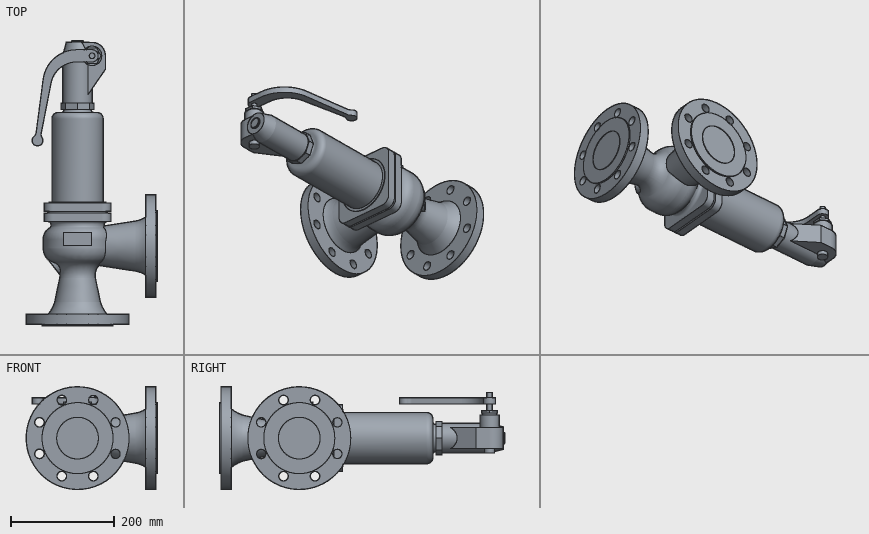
import math

import cadquery as cq


FLANGE_RADIUS = 100.0
FLANGE_THICKNESS = 20.0
FACE_RADIUS = 69.0
FACE_HEIGHT = 3.0
BOLT_CIRCLE_RADIUS = 80.0
BOLT_HOLE_DIAMETER = 18.0
BOLT_COUNT = 8
PORT_RADIUS = 40.5
PORT_DEPTH = 1.0
FLANGE_BACK = FACE_HEIGHT + FLANGE_THICKNESS

INLET_HUB_RADIUS = 57.0
INLET_HUB_MIDDLE = (50.0, 33.5)
INLET_CONE_START = (44.8, 45.5)
INLET_CONE_END = (35.0, 92.5)
BOWL_RADIUS = 67.0
BOWL_BOTTOM_ROUND = 31.0
BOWL_TOP_ROUND = 26.0
BOWL_BELT_BOTTOM = 151.0
BOWL_BELT_TOP = 168.0
BOWL_FOOT_RADIUS = 48.0
BODY_COLLAR_RADIUS = 52.0
COLLAR_BOTTOM = 194.0
COLLAR_TOP = 196.6

OUTLET_REACH = 155.0
OUTLET_Y = 155.0
OUTLET_ROOT_RADIUS = 31.4
OUTLET_CONE_X = 113.5
OUTLET_CONE_RADIUS = 49.0
OUTLET_HUB_MIDDLE = (123.5, 51.9)
OUTLET_HUB_RADIUS = 56.4

DRAIN_RADIUS = 19.7
DRAIN_ANGLE = 38.0
DRAIN_FACE = (-46.8, 115.4)
DRAIN_LENGTH = 45.0

JOINT_WIDTH = 130.0
JOINT_CORNER = 17.0
JOINT_THICKNESS = 16.4
JOINT_BOTTOM = 202.4
GASKET_THICKNESS = 3.8
GASKET_RADIUS = 60.0
GASKET_TOP_RADIUS = 54.0
GASKET_BOTTOM = JOINT_BOTTOM + JOINT_THICKNESS
UPPER_JOINT_BOTTOM = GASKET_BOTTOM + GASKET_THICKNESS
JOINT_TOP = UPPER_JOINT_BOTTOM + JOINT_THICKNESS

BONNET_RADIUS = 50.0
BONNET_TOP = 414.7
BONNET_EDGE_ROUND = 12.5
BONNET_FOOT_RADIUS = 55.5
BONNET_FOOT_HEIGHT = 1.2
STEM_RADIUS = 27.0
STEM_FILLET = 4.0

NUT_RADIUS = 32.4
NUT_SIDES = 8
NUT_BOTTOM = 420.0
NUT_HEIGHT = 12.4
CAP_RADIUS = 29.0
CAP_TAPER_START = 524.4
CAP_END = 551.2
CAP_END_RADIUS = 22.0
BUTTON_RADIUS = 11.3
BUTTON_CHAMFER = 1.5
OVERALL_LENGTH = 554.5

PIVOT_X = 28.2
PIVOT_Y = CAP_TAPER_START
LUG_HALF_THICKNESS = 20.6
LUG_SETBACK = 0.6
LUG_RADIUS = CAP_END - PIVOT_Y - LUG_SETBACK
LUG_SIDE_BOTTOM = 498.3
LUG_TIP = (20.4, 449.0)
LOWER_BOSS_RADIUS = 10.0
BOSS_RADIUS = 18.9
BOSS_TOP = 45.0
GLAND_RADIUS = 14.2
GLAND_NUT_RADIUS = 17.6
GLAND_NUT_SIDES = 6
GLAND_NUT_BOTTOM = 48.6
GLAND_NUT_TOP = 53.6
PIN_RADIUS = 5.5
PIN_TOP = 88.6

LEVER_BOTTOM = 66.2
LEVER_TOP = 78.6
LEVER_END_RADIUS = 11.9
BEND_X = -1.5
OUTER_BEND_RADIUS = 66.0
OUTER_BEND_ANGLE = 7.5
INNER_BEND_RADIUS = 50.6
INNER_BEND_ANGLE = 11.1
GRIP_CENTER = (-77.7, 360.0)
GRIP_RADIUS = 10.6
GRIP_FILLET = 11.0

PLATE_LENGTH = 54.0
PLATE_WIDTH = 25.5
PLATE_MIDDLE_Y = 168.6
PLATE_TOP = 70.0


def y_cylinder(radius, bottom, top):
    """Cylinder on the Y axis from bottom to top."""
    return cq.Workplane("XZ", origin=(0, bottom, 0)).circle(radius).extrude(bottom - top)


def pivot_cylinder(radius, bottom, top):
    """Cylinder on the lever pivot axis, parallel to Z."""
    return cq.Workplane("XY", origin=(PIVOT_X, PIVOT_Y, bottom)).circle(radius).extrude(top - bottom)


def polygon_points(radius, sides):
    """Corners of a regular polygon with one corner on its first axis."""
    step = 2 * math.pi / sides
    return [(radius * math.cos(i * step), radius * math.sin(i * step)) for i in range(sides)]


def pipe_flange():
    """Flange on the Y axis with its raised face at Y = 0; the port is a shallow recess."""
    disc = y_cylinder(FLANGE_RADIUS, FACE_HEIGHT, FLANGE_BACK)
    holes = (
        cq.Workplane("XZ", origin=(0, FACE_HEIGHT, 0))
        .polarArray(BOLT_CIRCLE_RADIUS, 180 / BOLT_COUNT, 360, BOLT_COUNT)
        .circle(BOLT_HOLE_DIAMETER / 2)
        .extrude(-FLANGE_THICKNESS)
    )
    raised_face = y_cylinder(FACE_RADIUS, 0, FACE_HEIGHT)
    port = y_cylinder(PORT_RADIUS, 0, PORT_DEPTH)
    return disc.cut(holes).union(raised_face).cut(port)


def body():
    """Inlet neck, bowl and collar as one revolved profile."""
    bottom_center = (BOWL_RADIUS - BOWL_BOTTOM_ROUND, BOWL_BELT_BOTTOM)
    top_center = (BOWL_RADIUS - BOWL_TOP_ROUND, BOWL_BELT_TOP)
    foot_drop = math.sqrt(BOWL_BOTTOM_ROUND**2 - (BOWL_FOOT_RADIUS - bottom_center[0]) ** 2)
    foot = (BOWL_FOOT_RADIUS, BOWL_BELT_BOTTOM - foot_drop)
    collar_offset = BODY_COLLAR_RADIUS - top_center[0]
    collar_rise = COLLAR_BOTTOM - BOWL_BELT_TOP
    shoulder_fillet = (collar_offset**2 + collar_rise**2 - BOWL_TOP_ROUND**2) / (
        2 * (BOWL_TOP_ROUND - collar_offset)
    )
    reach = BOWL_TOP_ROUND / (BOWL_TOP_ROUND + shoulder_fillet)
    shoulder = (
        top_center[0] + reach * (collar_offset + shoulder_fillet),
        BOWL_BELT_TOP + reach * collar_rise,
    )
    joint_fillet = JOINT_BOTTOM - COLLAR_TOP
    profile = (
        cq.Workplane("XY")
        .moveTo(0, FLANGE_BACK)
        .lineTo(INLET_HUB_RADIUS, FLANGE_BACK)
        .threePointArc(INLET_HUB_MIDDLE, INLET_CONE_START)
        .lineTo(*INLET_CONE_END)
        .tangentArcPoint(foot, relative=False)
        .radiusArc((BOWL_RADIUS, BOWL_BELT_BOTTOM), -BOWL_BOTTOM_ROUND)
        .lineTo(BOWL_RADIUS, BOWL_BELT_TOP)
        .radiusArc(shoulder, -BOWL_TOP_ROUND)
        .radiusArc((BODY_COLLAR_RADIUS, COLLAR_BOTTOM), shoulder_fillet)
        .lineTo(BODY_COLLAR_RADIUS, COLLAR_TOP)
        .radiusArc((BODY_COLLAR_RADIUS + joint_fillet, JOINT_BOTTOM), joint_fillet)
        .lineTo(0, JOINT_BOTTOM)
        .close()
    )
    return profile.revolve(360, (0, 0, 0), (0, 1, 0))


def outlet():
    """Outlet cone, its flared hub and its flange."""
    hub_end = OUTLET_REACH - FLANGE_BACK
    cone = (
        cq.Workplane("XY", origin=(0, OUTLET_Y, 0))
        .moveTo(0, 0)
        .lineTo(0, OUTLET_ROOT_RADIUS)
        .lineTo(OUTLET_CONE_X, OUTLET_CONE_RADIUS)
        .threePointArc(OUTLET_HUB_MIDDLE, (hub_end, OUTLET_HUB_RADIUS))
        .lineTo(hub_end, 0)
        .close()
        .revolve(360, (0, 0, 0), (1, 0, 0))
    )
    flange = pipe_flange().rotate((0, 0, 0), (0, 0, 1), 90).translate((OUTLET_REACH, OUTLET_Y, 0))
    return cone.union(flange)


def drain_boss():
    """Slanted round boss low on the -X side of the bowl."""
    angle = math.radians(DRAIN_ANGLE)
    inward = (math.cos(angle), math.sin(angle), 0)
    plane = cq.Plane(origin=(*DRAIN_FACE, 0), xDir=(0, 0, 1), normal=inward)
    return cq.Workplane(plane).circle(DRAIN_RADIUS).extrude(DRAIN_LENGTH)


def joint_flange(bottom):
    """Square flange with rounded corners."""
    return (
        cq.Workplane("XZ", origin=(0, bottom, 0))
        .rect(JOINT_WIDTH, JOINT_WIDTH)
        .extrude(-JOINT_THICKNESS)
        .edges("|Y")
        .fillet(JOINT_CORNER)
    )


def bonnet():
    """Gasket cone, spring bonnet, stem, lifting cap and end button as one revolved profile."""
    foot_top = JOINT_TOP + BONNET_FOOT_HEIGHT
    shoulder = BONNET_RADIUS - BONNET_EDGE_ROUND
    profile = (
        cq.Workplane("XY")
        .moveTo(0, GASKET_BOTTOM)
        .lineTo(GASKET_RADIUS, GASKET_BOTTOM)
        .lineTo(GASKET_TOP_RADIUS, UPPER_JOINT_BOTTOM)
        .lineTo(BONNET_FOOT_RADIUS, JOINT_TOP)
        .lineTo(BONNET_FOOT_RADIUS, foot_top)
        .lineTo(BONNET_RADIUS, foot_top)
        .lineTo(BONNET_RADIUS, BONNET_TOP - BONNET_EDGE_ROUND)
        .radiusArc((shoulder, BONNET_TOP), -BONNET_EDGE_ROUND)
        .lineTo(STEM_RADIUS + STEM_FILLET, BONNET_TOP)
        .radiusArc((STEM_RADIUS, BONNET_TOP + STEM_FILLET), STEM_FILLET)
        .lineTo(STEM_RADIUS, NUT_BOTTOM + NUT_HEIGHT)
        .lineTo(CAP_RADIUS, NUT_BOTTOM + NUT_HEIGHT)
        .lineTo(CAP_RADIUS, CAP_TAPER_START)
        .lineTo(CAP_END_RADIUS, CAP_END)
        .lineTo(BUTTON_RADIUS, CAP_END)
        .lineTo(BUTTON_RADIUS, OVERALL_LENGTH - BUTTON_CHAMFER)
        .lineTo(BUTTON_RADIUS - BUTTON_CHAMFER, OVERALL_LENGTH)
        .lineTo(0, OVERALL_LENGTH)
        .close()
    )
    return profile.revolve(360, (0, 0, 0), (0, 1, 0))


def lock_nut():
    """Octagonal nut below the lifting cap."""
    return (
        cq.Workplane("XZ", origin=(0, NUT_BOTTOM, 0))
        .polyline(polygon_points(NUT_RADIUS, NUT_SIDES))
        .close()
        .extrude(-NUT_HEIGHT)
    )


def lever_bearing():
    """Lug on the cap with its bosses, gland, gland nut and pivot pin."""
    lug_right = PIVOT_X + LUG_RADIUS
    lug = (
        cq.Workplane("XY", origin=(0, 0, -LUG_HALF_THICKNESS))
        .moveTo(0, PIVOT_Y + LUG_RADIUS)
        .lineTo(PIVOT_X, PIVOT_Y + LUG_RADIUS)
        .radiusArc((lug_right, PIVOT_Y), LUG_RADIUS)
        .lineTo(lug_right, LUG_SIDE_BOTTOM)
        .lineTo(*LUG_TIP)
        .lineTo(0, LUG_TIP[1])
        .close()
        .extrude(2 * LUG_HALF_THICKNESS)
    )
    gland_nut = (
        cq.Workplane("XY", origin=(PIVOT_X, PIVOT_Y, GLAND_NUT_BOTTOM))
        .polyline(polygon_points(GLAND_NUT_RADIUS, GLAND_NUT_SIDES))
        .close()
        .extrude(GLAND_NUT_TOP - GLAND_NUT_BOTTOM)
    )
    return (
        lug.union(pivot_cylinder(LOWER_BOSS_RADIUS, -CAP_RADIUS, 0))
        .union(pivot_cylinder(BOSS_RADIUS, 0, BOSS_TOP))
        .union(pivot_cylinder(GLAND_RADIUS, BOSS_TOP, GLAND_NUT_BOTTOM))
        .union(gland_nut)
        .union(pivot_cylinder(PIN_RADIUS, GLAND_NUT_TOP, PIN_TOP))
    )


def bend_end(radius, start_y, angle_degrees):
    """End of a bend that leaves the line Y = start_y and turns to the given angle from Y."""
    angle = math.radians(angle_degrees)
    center_y = start_y - radius
    return BEND_X - radius * math.cos(angle), center_y + radius * math.sin(angle)


def arm_end(start, angle_degrees):
    """Point level with the grip center on a straight arm side that starts at a bend end."""
    drop = start[1] - GRIP_CENTER[1]
    return start[0] - drop * math.tan(math.radians(angle_degrees)), GRIP_CENTER[1]


def lever():
    """Bent lever arm with a round grip filleted to its free end."""
    top = PIVOT_Y + LEVER_END_RADIUS
    bottom = PIVOT_Y - LEVER_END_RADIUS
    thickness = LEVER_TOP - LEVER_BOTTOM
    outer_end = bend_end(OUTER_BEND_RADIUS, top, OUTER_BEND_ANGLE)
    inner_end = bend_end(INNER_BEND_RADIUS, bottom, INNER_BEND_ANGLE)
    plane = cq.Workplane("XY", origin=(0, 0, LEVER_BOTTOM))
    arm = (
        plane.moveTo(PIVOT_X, bottom)
        .threePointArc((PIVOT_X + LEVER_END_RADIUS, PIVOT_Y), (PIVOT_X, top))
        .lineTo(BEND_X, top)
        .radiusArc(outer_end, -OUTER_BEND_RADIUS)
        .lineTo(*arm_end(outer_end, OUTER_BEND_ANGLE))
        .lineTo(*arm_end(inner_end, INNER_BEND_ANGLE))
        .lineTo(*inner_end)
        .radiusArc((BEND_X, bottom), INNER_BEND_RADIUS)
        .close()
        .extrude(thickness)
    )
    grip = plane.center(*GRIP_CENTER).circle(GRIP_RADIUS).extrude(thickness)
    grip_x, grip_y = GRIP_CENTER
    neck = cq.selectors.BoxSelector(
        (grip_x - GRIP_RADIUS, grip_y + GRIP_RADIUS / 2, LEVER_BOTTOM),
        (grip_x + GRIP_RADIUS, grip_y + GRIP_RADIUS, LEVER_TOP),
    )
    return arm.union(grip).edges("|Z").edges(neck).fillet(GRIP_FILLET)


def name_plate():
    """Rectangular plate on the +Z side of the bowl."""
    middle = cq.Workplane("XY", origin=(0, PLATE_MIDDLE_Y, 0))
    return middle.rect(PLATE_LENGTH, PLATE_WIDTH).extrude(PLATE_TOP)


result = (
    body()
    .union(pipe_flange())
    .union(outlet())
    .union(drain_boss())
    .union(joint_flange(JOINT_BOTTOM))
    .union(bonnet())
    .union(joint_flange(UPPER_JOINT_BOTTOM))
    .union(lock_nut())
    .union(lever_bearing())
    .union(lever())
    .union(name_plate())
)